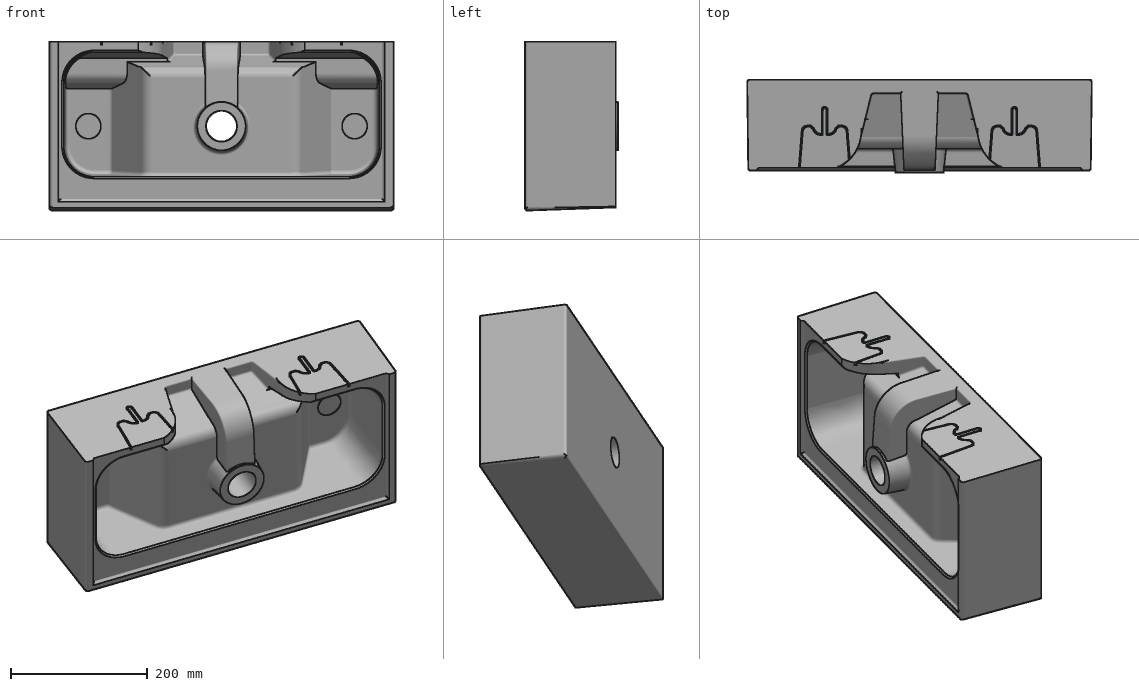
import cadquery as cq
import math


WIDTH = 504.5
HEIGHT = 247.0
TOTAL_DEPTH = 136.0
RIM_DEPTH = 133.0
SIDE_DRAFT = 1.5
BOTTOM_DRAFT = 4.5
OUTER_ROUND = 4.0
LOWER_SIDE_ROUND = 5.5
STRAIGHT_DEPTH = 4.5

PANEL_DEPTH = 4.0
PANEL_HALF_WIDTH = 239.0
PANEL_BOTTOM = 13.0
PANEL_SLOPE = 3.5
PANEL_EDGE_ROUND = 1.5

CAVITY_HALF_WIDTH = 231.0
CAVITY_BOTTOM = 49.5
CAVITY_TOP = 232.0
CAVITY_CORNER = 45.5
FLOOR_DEPTH = 21.0
CAVITY_TAPER = 2.0
FLOOR_ROUND = 6.5
CAVITY_RIM_CHAMFER = 2.5
SHELF_DEPTH = 58.0
SHELF_TOP = 223.0
SHELF_BOTTOM = 189.0
SHELF_ROOT = 178.0
SHELF_ROUND = 15.0

BOWL_DEPTH = 101.0
BOWL_HALF_WIDTH = 111.0
BOWL_ROOT_HALF_WIDTH = 161.5
BOWL_SIDE_ROUND = 18.0
BOWL_EDGE_Z = 194.5
BOWL_SLOPE_DEPTH = 83.5
BOWL_SLOPE_Z = 211.0
BOWL_BEND_RATIO = 0.7
BOWL_BASE_ROUND = 6.0

NOTCH_BACK = 20.0
NOTCH_BACK_HALF_WIDTH = 70.0
NOTCH_NECK_HALF_WIDTH = 86.0
NOTCH_NECK_DEPTH = 83.5
NOTCH_MOUTH_HALF_WIDTH = 122.0
NOTCH_FLARE_POINT = (97.5, -111.0)
NOTCH_FLOOR_Z = 227.5
NOTCH_ROUND = 4.0
NOTCH_FLOOR_ROUND = 3.5
NOTCH_EDGE_ROUND = 2.5

RIB_ROOT_HALF_WIDTH = 27.5
RIB_FRONT_HALF_WIDTH = 22.5
RIB_DEPTH = 132.5
RIB_BEND_DEPTH = 129.5
RIB_BEND = 46.0
RIB_BACK = 15.0
RIB_EDGE_ROUND = 2.0
DRAIN_Z = 123.5
DRAIN_DIAMETER = 45.0
BOSS_RADIUS = 35.5
BOSS_DRAFT = 3.5
BOSS_FILLET = 3.5

GROOVE_X = 138.5
GROOVE_WIDTH = 2.0
GROOVE_DEPTH = 4.5
BRACKET_FOOT_HALF_WIDTH = 40.5
BRACKET_SIDE_TOP = (34.0, -75.0)
BRACKET_SHOULDER_MID = (31.5, -69.5)
BRACKET_SHOULDER_OUTER = (25.5, -67.0)
BRACKET_SHOULDER_INNER = (20.0, -67.0)
BRACKET_HOLLOW_START = (15.5, -71.0)
BRACKET_HOLLOW_MID = (11.5, -77.0)
TONGUE_HALF_WIDTH = 4.5
TONGUE_TIP_DEPTH = 40.0
TONGUE_ROOT_DEPTH = 79.0

MARK_X = 194.5
MARK_DIAMETER = 37.0
MARK_DEPTH = 0.5

PANEL_Y = PANEL_DEPTH - RIM_DEPTH
CLEAR = 25.0
TOLERANCE = 0.05


def along_x(points, half_length):
    """Prism with a (y, z) outline, centred on x = 0."""
    return cq.Workplane("YZ").polyline(points).close().extrude(half_length, both=True)


def along_z(points, bottom, top):
    """Prism with an (x, y) outline."""
    return cq.Workplane("XY", origin=(0, 0, bottom)).polyline(points).close().extrude(top - bottom)


def flip(point):
    """Point mirrored across x = 0."""
    return (-point[0], point[1])


def mirrored(points):
    """Symmetric outline from its +X half, listed front to back."""
    return points + [flip(point) for point in reversed(points)]


def make_block():
    """Block common to three prisms, each with the rounded outline of one direction."""
    half = WIDTH / 2
    plan = along_z(
        mirrored([(half - SIDE_DRAFT, -RIM_DEPTH), (half, -STRAIGHT_DEPTH), (half, 0)]), 0, HEIGHT
    )
    plan = plan.faces("<Y or >Y").edges("|Z").fillet(OUTER_ROUND)
    side = along_x(
        [
            (0, 0),
            (0, HEIGHT),
            (-RIM_DEPTH, HEIGHT),
            (-RIM_DEPTH, BOTTOM_DRAFT),
            (-STRAIGHT_DEPTH, 0),
        ],
        WIDTH,
    )
    side = side.faces(">Y").edges("<Z").fillet(OUTER_ROUND)
    tilt = math.degrees(math.atan2(BOTTOM_DRAFT, RIM_DEPTH - STRAIGHT_DEPTH))
    front = cq.Workplane("XY").box(WIDTH, 4 * TOTAL_DEPTH, 2 * HEIGHT, centered=(True, True, False))
    front = front.faces("<Z").edges("|Y").fillet(LOWER_SIDE_ROUND)
    front = front.rotate((0, -STRAIGHT_DEPTH, 0), (1, -STRAIGHT_DEPTH, 0), -tilt)
    return plan.intersect(side).intersect(front)


def make_panel_recess():
    height = HEIGHT + CLEAR - PANEL_BOTTOM
    slope = math.degrees(math.atan2(PANEL_SLOPE, PANEL_DEPTH))
    return (
        cq.Workplane("XZ", origin=(0, -RIM_DEPTH, PANEL_BOTTOM + height / 2))
        .rect(2 * PANEL_HALF_WIDTH, height)
        .extrude(-PANEL_DEPTH, taper=slope)
        .faces(">Y")
        .edges()
        .fillet(PANEL_EDGE_ROUND)
    )


def cavity_frustum(grow, depth, taper):
    """Rounded rectangular frustum starting at the recess floor, enlarged by grow on every side."""
    height = CAVITY_TOP - CAVITY_BOTTOM
    return (
        cq.Workplane("XZ", origin=(0, PANEL_Y, CAVITY_BOTTOM + height / 2))
        .sketch()
        .rect(2 * (CAVITY_HALF_WIDTH + grow), height + 2 * grow)
        .vertices()
        .fillet(CAVITY_CORNER + grow)
        .finalize()
        .extrude(-depth, taper=taper)
    )


def make_ceiling():
    """Solid above the cavity: sloping underside of the top plate, then the shelf behind it."""
    ceiling = along_x(
        [
            (PANEL_Y, CAVITY_TOP),
            (-SHELF_DEPTH, SHELF_TOP),
            (-SHELF_DEPTH, SHELF_BOTTOM),
            (-FLOOR_DEPTH, SHELF_ROOT),
            (0, SHELF_ROOT),
            (0, HEIGHT),
            (PANEL_Y, HEIGHT),
        ],
        WIDTH,
    )
    shelf_edge = cq.selectors.NearestToPointSelector((0, -SHELF_DEPTH, SHELF_BOTTOM))
    return ceiling.edges(shelf_edge).fillet(SHELF_ROUND)


def make_cavity():
    """Space around the bowl, with rounded edges along the floor and the foot of the bowl."""
    pocket = cavity_frustum(0, -PANEL_Y - FLOOR_DEPTH, CAVITY_TAPER)
    pocket = pocket.faces(">Y").edges().fillet(FLOOR_ROUND)
    space = pocket.cut(make_ceiling()).cut(make_bowl())
    foot_edges = space.edges().filter(is_bowl_foot)
    return foot_edges.fillet(BOWL_BASE_ROUND)


def is_bowl_foot(edge):
    center = edge.Center()
    near_bottom = center.z < CAVITY_BOTTOM + FLOOR_ROUND
    beside_bowl = -BOWL_DEPTH - TOLERANCE < center.y < -FLOOR_DEPTH - FLOOR_ROUND
    return near_bottom and beside_bowl and abs(center.x) < BOWL_ROOT_HALF_WIDTH


def bowl_side_profile():
    """Wide prism with the side outline of the bowl: upright front, rounded edge, sloping top."""
    run = BOWL_DEPTH - BOWL_SLOPE_DEPTH
    rise = BOWL_SLOPE_Z - BOWL_EDGE_Z
    bend = (-BOWL_DEPTH + (1 - BOWL_BEND_RATIO) * run, BOWL_EDGE_Z + BOWL_BEND_RATIO * rise)
    return (
        cq.Workplane("YZ")
        .moveTo(0, 0)
        .lineTo(-BOWL_DEPTH, 0)
        .lineTo(-BOWL_DEPTH, BOWL_EDGE_Z)
        .threePointArc(bend, (-BOWL_SLOPE_DEPTH, BOWL_SLOPE_Z))
        .lineTo(-NOTCH_BACK, NOTCH_FLOOR_Z)
        .lineTo(0, NOTCH_FLOOR_Z)
        .close()
        .extrude(WIDTH, both=True)
    )


def make_bowl():
    plan = mirrored([(BOWL_HALF_WIDTH, -BOWL_DEPTH), (BOWL_ROOT_HALF_WIDTH, -FLOOR_DEPTH)])
    bowl = along_z(plan, 0, HEIGHT)
    bowl = bowl.faces("<Y").edges("|Z").fillet(BOWL_SIDE_ROUND)
    return bowl.intersect(bowl_side_profile())


def make_notch():
    front = -RIM_DEPTH - CLEAR
    notch = (
        cq.Workplane("XY", origin=(0, 0, BOWL_EDGE_Z))
        .moveTo(NOTCH_MOUTH_HALF_WIDTH, front)
        .lineTo(NOTCH_MOUTH_HALF_WIDTH, PANEL_Y)
        .threePointArc(NOTCH_FLARE_POINT, (NOTCH_NECK_HALF_WIDTH, -NOTCH_NECK_DEPTH))
        .lineTo(NOTCH_BACK_HALF_WIDTH, -NOTCH_BACK)
        .lineTo(-NOTCH_BACK_HALF_WIDTH, -NOTCH_BACK)
        .lineTo(-NOTCH_NECK_HALF_WIDTH, -NOTCH_NECK_DEPTH)
        .threePointArc(flip(NOTCH_FLARE_POINT), (-NOTCH_MOUTH_HALF_WIDTH, PANEL_Y))
        .lineTo(-NOTCH_MOUTH_HALF_WIDTH, front)
        .close()
        .extrude(HEIGHT + CLEAR - BOWL_EDGE_Z)
        .faces(">Y")
        .edges("|Z")
        .fillet(NOTCH_ROUND)
    )
    notch = notch.cut(bowl_side_profile())
    floor_edge = cq.selectors.NearestToPointSelector((0, -NOTCH_BACK, NOTCH_FLOOR_Z))
    return notch.edges(floor_edge).fillet(NOTCH_FLOOR_ROUND)


def is_notch_top_edge(edge):
    """True for the top edges along the back and the straight sides of the notch."""
    center = edge.Center()
    in_depth = NOTCH_BACK - TOLERANCE < -center.y < NOTCH_NECK_DEPTH
    return in_depth and abs(center.x) < NOTCH_NECK_HALF_WIDTH


def make_rib():
    bend_start = -RIB_BEND_DEPTH + RIB_BEND
    bend_mid = RIB_BEND * (1 - math.sqrt(0.5))
    side = (
        cq.Workplane("YZ")
        .moveTo(-RIB_BACK, HEIGHT)
        .lineTo(bend_start, HEIGHT)
        .threePointArc(
            (-RIB_BEND_DEPTH + bend_mid, HEIGHT - bend_mid),
            (-RIB_BEND_DEPTH, HEIGHT - RIB_BEND),
        )
        .lineTo(-RIB_DEPTH, DRAIN_Z + BOSS_RADIUS)
        .lineTo(-RIB_DEPTH, DRAIN_Z)
        .lineTo(-RIB_BACK, DRAIN_Z)
        .close()
        .extrude(WIDTH, both=True)
    )
    plan = mirrored([(RIB_FRONT_HALF_WIDTH, -RIM_DEPTH), (RIB_ROOT_HALF_WIDTH, -RIB_BACK)])
    rib = along_z(plan, 0, HEIGHT).intersect(side)
    return rib.edges().filter(is_rib_outer_edge).fillet(RIB_EDGE_ROUND)


def is_rib_outer_edge(edge):
    """True for the long edges along the top, the bend and the front of the rib."""
    center = edge.Center()
    on_top = center.z > HEIGHT - RIB_BEND and center.y < -RIB_BACK - TOLERANCE
    on_front = center.y < -RIB_BEND_DEPTH and center.z > DRAIN_Z + TOLERANCE
    return abs(center.x) > RIB_FRONT_HALF_WIDTH - TOLERANCE and (on_top or on_front)


def make_boss():
    length = TOTAL_DEPTH - FLOOR_DEPTH
    taper = math.degrees(math.atan2(BOSS_DRAFT, TOTAL_DEPTH - BOWL_DEPTH))
    return (
        cq.Workplane("XZ", origin=(0, -TOTAL_DEPTH, DRAIN_Z))
        .circle(BOSS_RADIUS)
        .extrude(-length, taper=-taper)
    )


def is_boss_foot(edge):
    """True for the circle where the boss meets the front of the bowl."""
    return edge.geomType() == "CIRCLE" and abs(edge.Center().y + BOWL_DEPTH) < TOLERANCE


def bracket_outline(center_x):
    """Outline of a bracket: a shouldered plate with a narrow round-ended tongue at its middle."""
    tip_start = -TONGUE_TIP_DEPTH - TONGUE_HALF_WIDTH
    return (
        cq.Workplane("XY", origin=(center_x, 0, HEIGHT - GROOVE_DEPTH))
        .moveTo(BRACKET_FOOT_HALF_WIDTH, -RIM_DEPTH - CLEAR)
        .lineTo(*BRACKET_SIDE_TOP)
        .threePointArc(BRACKET_SHOULDER_MID, BRACKET_SHOULDER_OUTER)
        .lineTo(*BRACKET_SHOULDER_INNER)
        .lineTo(*BRACKET_HOLLOW_START)
        .threePointArc(BRACKET_HOLLOW_MID, (TONGUE_HALF_WIDTH, -TONGUE_ROOT_DEPTH))
        .lineTo(TONGUE_HALF_WIDTH, tip_start)
        .threePointArc((0, -TONGUE_TIP_DEPTH), (-TONGUE_HALF_WIDTH, tip_start))
        .lineTo(-TONGUE_HALF_WIDTH, -TONGUE_ROOT_DEPTH)
        .threePointArc(flip(BRACKET_HOLLOW_MID), flip(BRACKET_HOLLOW_START))
        .lineTo(*flip(BRACKET_SHOULDER_INNER))
        .lineTo(*flip(BRACKET_SHOULDER_OUTER))
        .threePointArc(flip(BRACKET_SHOULDER_MID), flip(BRACKET_SIDE_TOP))
        .lineTo(-BRACKET_FOOT_HALF_WIDTH, -RIM_DEPTH - CLEAR)
        .close()
    )


def make_bracket_groove(center_x):
    """Thin groove just inside a bracket outline."""
    outer = bracket_outline(center_x).extrude(CLEAR)
    inner = bracket_outline(center_x).offset2D(-GROOVE_WIDTH).extrude(CLEAR)
    return outer.cut(inner)


def make_drilling(x, start_depth, diameter, end_depth):
    """Cylinder along Y, at the height of the drain."""
    return (
        cq.Workplane("XZ", origin=(x, -start_depth, DRAIN_Z))
        .circle(diameter / 2)
        .extrude(end_depth - start_depth)
    )


body = make_block().cut(make_panel_recess()).cut(make_cavity())
mouth = cavity_frustum(CAVITY_RIM_CHAMFER, CAVITY_RIM_CHAMFER, 45)
body = body.cut(mouth)

grooves = make_bracket_groove(GROOVE_X).add(make_bracket_groove(-GROOVE_X)).combine()
body = body.cut(grooves).cut(make_notch())
body = body.faces(">Z").edges().filter(is_notch_top_edge).fillet(NOTCH_EDGE_ROUND)

body = body.union(make_boss())
body = body.edges().filter(is_boss_foot).fillet(BOSS_FILLET)
body = body.union(make_rib())

body = body.cut(make_drilling(0, 0, DRAIN_DIAMETER, TOTAL_DEPTH))
for mark_x in (-MARK_X, MARK_X):
    mark = make_drilling(mark_x, FLOOR_DEPTH - MARK_DEPTH, MARK_DIAMETER, FLOOR_DEPTH + MARK_DEPTH)
    body = body.cut(mark)

result = body